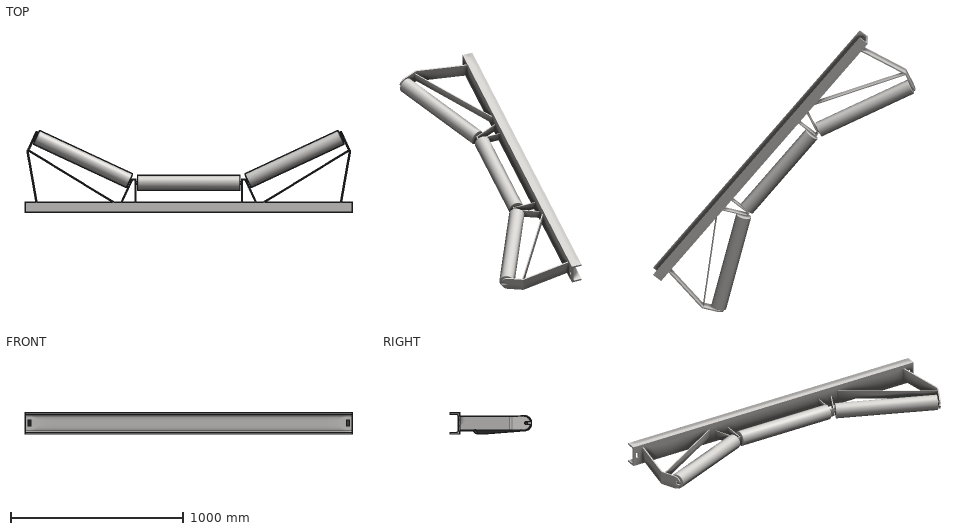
import cadquery as cq
import math


beam_length = 1900.0
beam_depth = 59.0
beam_height = 125.0
beam_thickness = 10.8
beam_root_radius = 10.0
beam_slot_width = 17.0
beam_slot_length = 35.0
beam_slot_inset = 27.0

roller_diameter = 90.0
roller_length = 597.0
roller_edge_radius = 2.8
shaft_diameter = 17.0
end_gap = 8.0
centre_roller_y = 171.0
wing_middle_x = -614.0
wing_middle_y = 310.0
trough_angle = 25.0
forward_tilt = 1.9
inner_axis_z = -18.0

hardware_z = 2.0
outer_height = 80.0
outer_thickness = 8.0
outer_lean = 10.0
outer_bend_y = 353.0
outer_bend_radius = 15.0
outer_tip = 32.0
inner_height = 50.0
inner_thickness = 5.0
inner_top_y = 192.0
brace_height = 50.0
brace_thickness = 6.0
brace_foot_x = -437.0
brace_top_y = 361.0

trough = math.radians(trough_angle)
tilt = math.radians(forward_tilt)
outward = cq.Vector(-math.cos(trough), math.sin(trough))
plate_up = cq.Vector(math.sin(trough), math.cos(trough))
wing_middle = cq.Vector(wing_middle_x, wing_middle_y)
wing_middle_z = inner_axis_z + roller_length / 2 * math.sin(tilt)

inner_plate_reach = roller_length / 2 + end_gap + inner_thickness / 2
outer_plate_reach = roller_length / 2 + end_gap + outer_thickness / 2
inner_shaft_reach = roller_length / 2 + end_gap + inner_thickness
outer_shaft_reach = roller_length / 2 + end_gap + outer_thickness


def point_up_plate(plate_middle, y):
    """Point at the given Y on the line that runs up a wing end plate."""
    return plate_middle + plate_up * ((y - plate_middle.y) / plate_up.y)


def make_beam():
    channel = cq.Workplane("XY").box(beam_length, beam_depth, beam_height, centered=(True, False, True))
    hollow = (
        cq.Workplane("XY")
        .box(
            beam_length,
            beam_depth - beam_thickness,
            beam_height - 2 * beam_thickness,
            centered=(True, False, True),
        )
        .edges("|X and >Y")
        .fillet(beam_root_radius)
    )
    slot_x = beam_length / 2 - beam_slot_inset
    slots = (
        cq.Workplane("XZ")
        .pushPoints([(-slot_x, hardware_z), (slot_x, hardware_z)])
        .rect(beam_slot_width, beam_slot_length)
        .extrude(-beam_depth)
    )
    return channel.cut(hollow).cut(slots)


def make_roller(left_reach, right_reach):
    """Roller along X with its middle at the origin and a shaft reaching out to each side."""
    barrel = (
        cq.Workplane("YZ", origin=(-roller_length / 2, 0, 0))
        .circle(roller_diameter / 2)
        .extrude(roller_length)
        .edges()
        .fillet(roller_edge_radius)
    )
    shaft = (
        cq.Workplane("YZ", origin=(-left_reach, 0, 0))
        .circle(shaft_diameter / 2)
        .extrude(left_reach + right_reach)
    )
    return barrel.union(shaft)


def make_left_wing_roller():
    return (
        make_roller(outer_shaft_reach, inner_shaft_reach)
        .rotate((0, 0, 0), (0, 1, 0), forward_tilt)
        .rotate((0, 0, 0), (0, 0, 1), -trough_angle)
        .translate((wing_middle_x, wing_middle_y, wing_middle_z))
    )


def make_strip(middle_line, thickness, height, middle_z):
    """Strip on edge that follows a middle line in the XY plane, with mitred corners."""
    normals = []
    for start, end in zip(middle_line, middle_line[1:]):
        along = (end - start).normalized()
        normals.append(cq.Vector(-along.y, along.x))
    left_side = []
    right_side = []
    for point, before, after in zip(middle_line, normals[:1] + normals, normals + normals[-1:]):
        offset = (before + after) * (thickness / 2 / (1 + before.dot(after)))
        left_side.append((point + offset).toTuple()[:2])
        right_side.append((point - offset).toTuple()[:2])
    return (
        cq.Workplane("XY", origin=(0, 0, middle_z - height / 2))
        .polyline(left_side + right_side[::-1])
        .close()
        .extrude(height)
    )


def trim_at_beam(strip):
    """Cut off what lies in front of the beam's back face."""
    front = cq.Workplane("XY").box(beam_length, 2 * beam_depth, 2 * beam_height)
    return strip.cut(front)


outer_plate = wing_middle + outward * outer_plate_reach
outer_bend = point_up_plate(outer_plate, outer_bend_y)


def make_left_outer_bracket(wing_roller):
    """Leaning leg, bent to follow the wing's outer end, with an open slot for the shaft."""
    tip = outer_plate + plate_up * outer_tip
    foot = cq.Vector(outer_bend.x + outer_bend.y * math.tan(math.radians(outer_lean)), 0)
    strip = make_strip([foot, outer_bend, tip], outer_thickness, outer_height, hardware_z)

    for side, radius in [(1, outer_bend_radius), (-1, outer_bend_radius + outer_thickness)]:
        beside_bend = (outer_bend.x + side * outer_thickness, outer_bend.y, hardware_z)
        strip = strip.edges(cq.selectors.NearestToPointSelector(beside_bend)).fillet(radius)

    tip_radius = outer_height / 2
    tip_plane = cq.Plane(
        origin=(tip.x, tip.y, hardware_z), xDir=plate_up.toTuple(), normal=outward.toTuple()
    )
    tip_block = (
        cq.Workplane(tip_plane)
        .center(-tip_radius / 2, 0)
        .rect(tip_radius, outer_height)
        .extrude(outer_thickness, both=True)
    )
    tip_round = (
        cq.Workplane(tip_plane)
        .center(-tip_radius, 0)
        .circle(tip_radius)
        .extrude(outer_thickness, both=True)
    )
    strip = strip.cut(tip_block.cut(tip_round))

    shaft_z = wing_middle_z + outer_plate_reach * math.sin(tilt)
    slot_plane = cq.Plane(
        origin=(outer_plate.x, outer_plate.y, shaft_z),
        xDir=plate_up.toTuple(),
        normal=outward.toTuple(),
    )
    slot = (
        cq.Workplane(slot_plane)
        .center(outer_tip / 2, 0)
        .rect(outer_tip, shaft_diameter)
        .extrude(outer_thickness, both=True)
    )
    return trim_at_beam(strip.cut(slot).cut(wing_roller))


def make_left_inner_bracket(wing_roller, centre_roller):
    """Folded strip whose two legs hold the wing's inner end and the centre roller's end."""
    wing_plate = wing_middle - outward * inner_plate_reach
    middle_line = [
        point_up_plate(wing_plate, 0),
        point_up_plate(wing_plate, inner_top_y),
        cq.Vector(-inner_plate_reach, inner_top_y),
        cq.Vector(-inner_plate_reach, 0),
    ]
    strip = make_strip(middle_line, inner_thickness, inner_height, inner_axis_z)
    return trim_at_beam(strip.cut(wing_roller).cut(centre_roller))


def make_left_brace(outer_bracket):
    """Straight strip from the beam up to the inside of the outer bracket's bend."""
    top = point_up_plate(outer_plate, brace_top_y)
    foot = cq.Vector(brace_foot_x, beam_depth)
    below_foot = foot + (foot - top).normalized() * beam_depth
    strip = make_strip([top, below_foot], brace_thickness, brace_height, hardware_z)
    return trim_at_beam(strip.cut(outer_bracket))


beam = make_beam()
centre_roller = make_roller(inner_shaft_reach, inner_shaft_reach).translate(
    (0, centre_roller_y, inner_axis_z)
)
wing_roller = make_left_wing_roller()
outer_bracket = make_left_outer_bracket(wing_roller)
inner_bracket = make_left_inner_bracket(wing_roller, centre_roller)
brace = make_left_brace(outer_bracket)

bodies = [beam.solids().val(), centre_roller.solids().val()]
for left_body in [wing_roller, outer_bracket, inner_bracket, brace]:
    bodies.append(left_body.solids().val())
    bodies.append(left_body.mirror("YZ").solids().val())

result = cq.Compound.makeCompound(bodies)